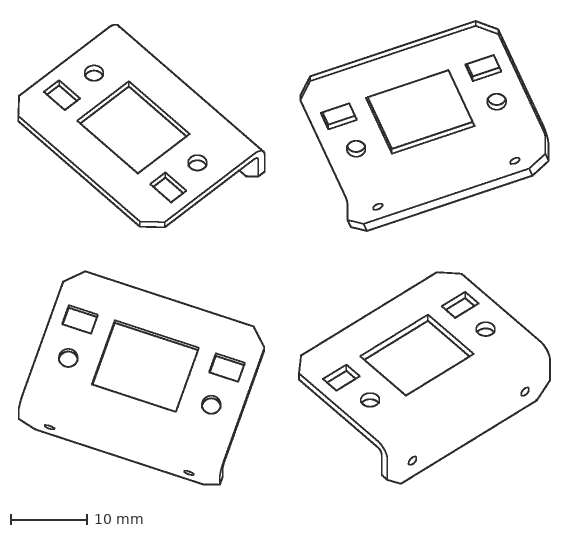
import cadquery as cq

width = 27.95
depth = 20.3
height = 8.13
thickness = 1.2
bend_outer_radius = 2.0
bend_inner_radius = bend_outer_radius - thickness
corner_cut = 2.3

window_width = 11.65
window_depth = 9.3
openings_front_edge = 15.2
slot_width = 4.02
slot_depth = 2.75
slot_offset = 10.2
plate_hole_diameter = 2.45
plate_hole_offset = 9.92
plate_hole_from_rear = 8.33

leg_hole_diameter = 1.3
leg_hole_offset = 9.67
leg_hole_from_top = 5.09



def bent_sheet():
    """L-shaped strip with concentric inner and outer bend radii."""
    block = cq.Workplane("XY").box(width, depth, height).translate((0, -depth / 2, -height / 2))
    block = block.edges("|X and >Y and >Z").fillet(bend_outer_radius)
    inside = cq.Workplane("XY").box(width, depth, height)
    inside = inside.translate((0, -depth / 2 - thickness, -height / 2 - thickness))
    inside = inside.edges("|X and >Y and >Z").fillet(bend_inner_radius)
    return block.cut(inside)


def cut_corners(body):
    """Bevel the front corners of the plate and the lower corners of the leg."""
    body = body.edges("|Z and <Y").chamfer(corner_cut)
    return body.edges("|Y and <Z").chamfer(corner_cut)


def plate_openings():
    """Cutters for the window, the two slots and the two round plate holes."""
    plane = cq.Workplane("XY").workplane(offset=-thickness)
    window_y = -openings_front_edge + window_depth / 2
    slot_y = -openings_front_edge + slot_depth / 2
    slot_centers = [(side * slot_offset, slot_y) for side in (-1, 1)]
    hole_centers = [(side * plate_hole_offset, -plate_hole_from_rear) for side in (-1, 1)]
    outlines = plane.pushPoints([(0, window_y)]).rect(window_width, window_depth)
    outlines = outlines.pushPoints(slot_centers).rect(slot_width, slot_depth)
    outlines = outlines.pushPoints(hole_centers).circle(plate_hole_diameter / 2)
    return outlines.extrude(thickness)


def leg_holes():
    """Cutters for the two round holes through the leg."""
    centers = [(side * leg_hole_offset, -leg_hole_from_top) for side in (-1, 1)]
    return cq.Workplane("XZ").pushPoints(centers).circle(leg_hole_diameter / 2).extrude(thickness)


result = cut_corners(bent_sheet()).cut(plate_openings()).cut(leg_holes())